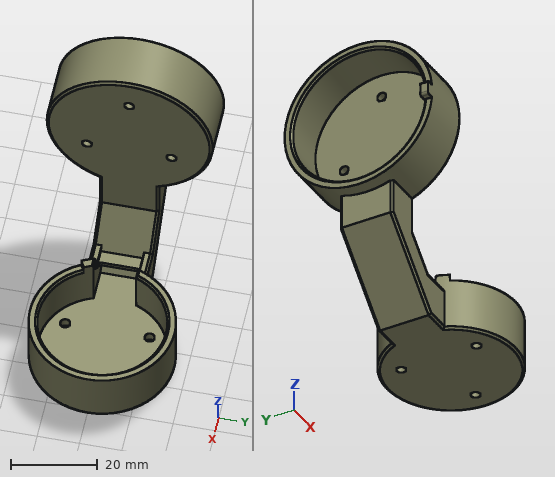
import cadquery as cq
import math

wall = 2.0
floor = 2.5
cup_depth = 13.5
upper_radius = 19.6
lower_radius = 17.05
outer_chamfer = 0.6
rim_chamfer = 0.5
hole_diameter = 2.3
hole_circle_radius = 11.5

length = 62.8
height = 65.1
upper_tab_height = 2.0
upper_back_x = upper_tab_height + cup_depth
upper_center_z = height - upper_radius
lower_center_x = length - lower_radius

arm_width = 14.0
upright_thickness = 9.8
foot_height = 11.0
arm_left_x = upper_back_x - upright_thickness
bend_z = 18.05
outer_foot_x = arm_left_x + bend_z
inner_foot_x = upper_back_x + bend_z - foot_height
arm_chamfer = 0.6

channel_width = 10.0
ledge_drop = 1.0
opening_start_x = 26.7
opening_corner_radius = 1.05
gap_chamfer = 0.4

upper_tab_width = 3.5
upper_tab_radius = 0.6
lower_tab_height = 1.55
lower_tab_end_angle = 208.4


def cup_body(radius):
    """Solid cup blank along +Z with its closed end at Z = 0."""
    return cq.Workplane("XY").circle(radius).extrude(cup_depth).faces("<Z").chamfer(outer_chamfer)


def cup_cavity(radius):
    """Cavity with a flared rim, plus three holes through the floor."""
    inner = radius - wall
    profile = [
        (0, floor),
        (inner, floor),
        (inner, cup_depth - rim_chamfer),
        (inner + rim_chamfer, cup_depth),
        (0, cup_depth),
    ]
    cavity = cq.Workplane("XZ").polyline(profile).close().revolve(360, (0, 0, 0), (0, 1, 0))
    holes = (
        cq.Workplane("XY").polarArray(hole_circle_radius, 0, 360, 3)
        .circle(hole_diameter / 2).extrude(2 * floor)
    )
    return cavity.union(holes)


def place_upper(shape):
    """Turn +Z to -X and +X to +Z, then move to the upper cup position."""
    return shape.rotate((0, 0, 0), (0, 1, 0), -90).translate((upper_back_x, 0, upper_center_z))


def place_lower(shape):
    return shape.translate((lower_center_x, 0, 0))


def elbow(points, width):
    """Side outline in XZ, extruded symmetrically about Y = 0."""
    return cq.Workplane("XZ").polyline(points).close().extrude(width / 2, both=True)


def arm():
    top_z = upper_center_z - upper_radius / 2
    end_x = lower_center_x - lower_radius / 2
    points = [
        (arm_left_x, top_z),
        (arm_left_x, bend_z),
        (outer_foot_x, 0),
        (end_x, 0),
        (end_x, foot_height),
        (inner_foot_x, foot_height),
        (upper_back_x, bend_z),
        (upper_back_x, top_z),
    ]
    return elbow(points, arm_width).faces("<Y or >Y").edges().chamfer(arm_chamfer)


def channel():
    """Bent tunnel joining the cups, flush with both cup floors."""
    left_x = arm_left_x + wall
    right_x = upper_back_x - floor
    roof_z = foot_height - wall
    top_z = upper_center_z - upper_radius / 2
    end_x = lower_center_x
    lower_sum = arm_left_x + bend_z + wall * math.sqrt(2)
    upper_sum = upper_back_x + bend_z - wall * math.sqrt(2)
    points = [
        (left_x, top_z),
        (left_x, lower_sum - left_x),
        (lower_sum - floor, floor),
        (end_x, floor),
        (end_x, roof_z),
        (upper_sum - roof_z, roof_z),
        (right_x, upper_sum - right_x),
        (right_x, top_z),
    ]
    return elbow(points, channel_width)


def foot_opening():
    """Open top of the foot, continuing through the lower cup wall."""
    end_x = lower_center_x
    slot = (
        cq.Workplane("XY").box(end_x - opening_start_x, channel_width, cup_depth + lower_tab_height,
                               centered=(False, True, False))
        .edges("|Z and <X").fillet(opening_corner_radius)
        .translate((opening_start_x, 0, floor))
    )
    ledge_z = foot_height - ledge_drop
    recess_points = [
        (inner_foot_x, foot_height),
        (inner_foot_x + ledge_drop, ledge_z),
        (end_x, ledge_z),
        (end_x, foot_height),
    ]
    return slot.union(elbow(recess_points, channel_width))


def gap_bevel(side, top_z):
    """Wedge that bevels one top edge of the gap in the lower cup wall; side is +1 or -1 along Y."""
    edge_y = side * channel_width / 2
    points = [
        (edge_y, top_z - gap_chamfer),
        (edge_y + side * gap_chamfer, top_z),
        (edge_y, top_z),
    ]
    run = lower_center_x - inner_foot_x
    return cq.Workplane("YZ").workplane(offset=inner_foot_x).polyline(points).close().extrude(run)


def upper_tab():
    ring = (
        cq.Workplane("XY").circle(upper_radius).circle(upper_radius - wall)
        .extrude(cup_depth + upper_tab_height)
    )
    block = (
        cq.Workplane("XY").box(upper_tab_width, 2 * wall, upper_tab_height + rim_chamfer,
                               centered=(True, True, False))
        .edges("|Y and >Z").fillet(upper_tab_radius)
        .translate((0, -upper_radius + wall / 2, cup_depth - rim_chamfer))
    )
    return place_upper(ring.intersect(block))


def lower_tab():
    """Raised piece of rim from a radial face to the wire gap, overrunning into the gap before that is cut."""
    base_z = cup_depth - 2 * rim_chamfer
    top_z = cup_depth + lower_tab_height
    ring = (
        cq.Workplane("XY").workplane(offset=base_z)
        .circle(lower_radius).circle(lower_radius - wall).extrude(top_z - base_z)
    )
    end = math.radians(lower_tab_end_angle)
    reach = 2 * lower_radius
    sector = (
        cq.Workplane("XY").workplane(offset=base_z)
        .polyline([(0, 0), (-reach, 0), (reach * math.cos(end), reach * math.sin(end))])
        .close().extrude(top_z - base_z)
    )
    return place_lower(ring.intersect(sector))


result = (
    arm()
    .union(place_upper(cup_body(upper_radius)))
    .union(place_lower(cup_body(lower_radius)))
    .cut(place_upper(cup_cavity(upper_radius)))
    .cut(place_lower(cup_cavity(lower_radius)))
    .union(lower_tab())
    .cut(channel())
    .cut(foot_opening())
    .union(upper_tab())
    .cut(gap_bevel(1, cup_depth))
    .cut(gap_bevel(-1, cup_depth + lower_tab_height))
)